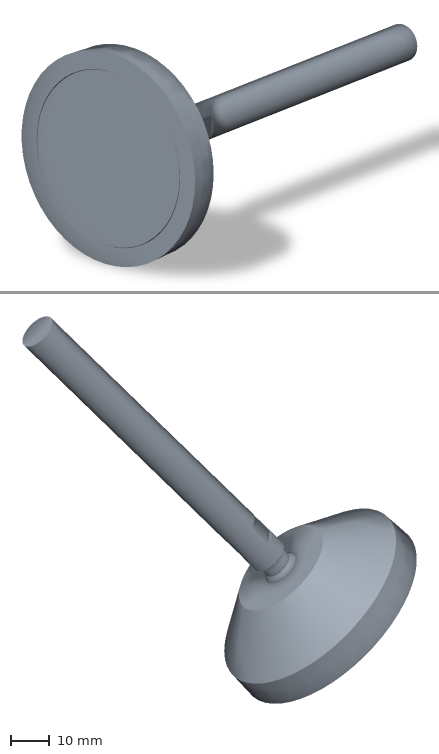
import cadquery as cq
import math

total_length = 120.0

ground_diameter = 58.0
rim_top_diameter = 57.2
rim_height = 8.0
cone_top_diameter = 28.0
foot_height = 20.0

groove_outer_diameter = 48.0
groove_inner_diameter = 47.5
groove_depth = 1.2

stem_diameter = 10.0
neck_diameter = 7.8
neck_start = 21.4
neck_end = 25.0
ball_diameter = 12.0

flats_start = 30.0
flats_length = 7.0
across_flats = 8.0

ball_radius = ball_diameter / 2
ball_center = neck_start - math.sqrt(ball_radius**2 - (neck_diameter / 2) ** 2)


def make_ball():
    """Ball on the Y axis; the stem ends in it and the foot has its socket."""
    return cq.Workplane("XY").sphere(ball_radius).translate((0, ball_center, 0))


def ring_groove_cut():
    """Thin ring that cuts the groove into the ground face."""
    return (
        cq.Workplane("XZ")
        .circle(groove_outer_diameter / 2)
        .circle(groove_inner_diameter / 2)
        .extrude(-groove_depth)
    )


def spanner_flats_cut():
    """Two blocks that cut the flats on the -X and +X sides of the stem."""
    block_depth = stem_diameter / 2
    block_offset = across_flats / 2 + block_depth / 2
    return (
        cq.Workplane("XY")
        .pushPoints([
            (side * block_offset, flats_start + flats_length / 2)
            for side in (-1, 1)
        ])
        .box(block_depth, flats_length, stem_diameter)
    )


def make_foot():
    """Conical foot with a drafted rim, a ball socket and a ring groove."""
    turned_body = (
        cq.Workplane("XY")
        .moveTo(0, 0)
        .lineTo(ground_diameter / 2, 0)
        .lineTo(rim_top_diameter / 2, rim_height)
        .lineTo(cone_top_diameter / 2, foot_height)
        .lineTo(0, foot_height)
        .close()
        .revolve(360, (0, 0, 0), (0, 1, 0))
    )
    return turned_body.cut(make_ball()).cut(ring_groove_cut())


def make_stem():
    """Round stem with a thinner neck, a ball end and two spanner flats."""
    shaft = (
        cq.Workplane("XY")
        .moveTo(0, ball_center)
        .lineTo(neck_diameter / 2, ball_center)
        .lineTo(neck_diameter / 2, neck_end)
        .lineTo(stem_diameter / 2, neck_end)
        .lineTo(stem_diameter / 2, total_length)
        .lineTo(0, total_length)
        .close()
        .revolve(360, (0, 0, 0), (0, 1, 0))
    )
    return shaft.union(make_ball()).cut(spanner_flats_cut())


foot = make_foot()
stem = make_stem()

result = cq.Compound.makeCompound([foot.val(), stem.val()])